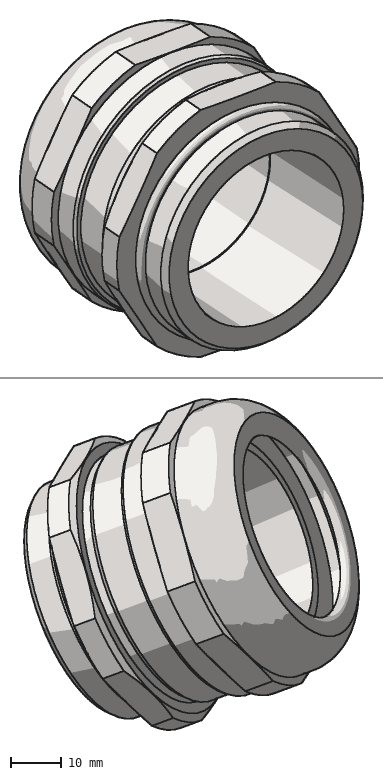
import cadquery as cq
import math

LENGTH = 48.9

ACROSS_FLATS = 57.0
CORNER_DIA = 59.95
CHAMFER_DIA = 56.8

NUT_OUTER_DIA = CHAMFER_DIA
NUT_FACE_DIA = 46.9
DOME_END = 7.85
NUT_HEX_START = 10.95
NUT_HEX_END = 17.9
NUT_HEX_FRONT_CHAMFER = 0.3
NUT_HEX_BACK_CHAMFER = 0.2
NUT_END = 23.55
NUT_END_CHAMFER_LENGTH = 0.65
NUT_END_CHAMFER_DEPTH = 0.4
LIP_BORE_DIA = 38.4
LIP_FILLET = 1.2
LIP_END = 1.75
CAVITY_DIA = 53.2
CAVITY_CONE_END = 5.7

INSERT_START = 8.05
CLAMP_RING_END = NUT_HEX_END
SEAL_OUTER_DIA = 42.1
SEAL_BORE_DIA = 38.0
SEAL_END = 24.4

BODY_BORE_DIA = LIP_BORE_DIA
BARREL_DIA = 54.0
BARREL_CHAMFER_START = 30.85
BARREL_CHAMFER_END = 31.95
NECK_DIA = 52.3
BODY_HEX_START = 33.8
BODY_HEX_END = 39.8
BODY_HEX_FRONT_CHAMFER = 0.85
BODY_HEX_BACK_CHAMFER = 0.2
THREAD_LEAD_START = 41.35
THREAD_LEAD_END = 42.45
THREAD_DIA = 50.0
THREAD_CHAMFER_START = 47.6
THREAD_END_DIA = 47.8

O_RING_SECTION_DIA = 2.05
O_RING_INNER_DIA = 47.8


def turned(profile):
    """Revolve a closed (x, radius) profile about the X axis."""
    return profile.close().revolve(360, (0, 0, 0), (1, 0, 0))


def tube(start, end, outer_dia, inner_dia):
    """Plain tube between two X positions."""
    ring = cq.Workplane("YZ", origin=(start, 0, 0)).circle(outer_dia / 2).circle(inner_dia / 2)
    return ring.extrude(end - start)


def hexagon(start, end, front_chamfer, back_chamfer):
    """Hexagon with two flats facing up and down, its corners turned round and chamfered."""
    circumscribed_dia = ACROSS_FLATS / math.cos(math.radians(30))
    prism = cq.Workplane("YZ", origin=(start, 0, 0)).polygon(6, circumscribed_dia).extrude(end - start)
    corner = CORNER_DIA / 2
    chamfer_edge = CHAMFER_DIA / 2
    envelope = turned(
        cq.Workplane("XY")
        .moveTo(start, 0)
        .lineTo(start, chamfer_edge)
        .lineTo(start + front_chamfer, corner)
        .lineTo(end - back_chamfer, corner)
        .lineTo(end, chamfer_edge)
        .lineTo(end, 0)
    )
    return prism.intersect(envelope)


def make_nut():
    """Domed clamp nut with a hexagon, a rounded lip and a wide inner cavity."""
    outer = NUT_OUTER_DIA / 2
    face = NUT_FACE_DIA / 2
    drop = outer - face
    dome_radius = (DOME_END**2 + drop**2) / (2 * drop)
    half_angle = math.asin(DOME_END / dome_radius) / 2
    dome_middle = (
        DOME_END - dome_radius * math.sin(half_angle),
        outer - dome_radius * (1 - math.cos(half_angle)),
    )
    blank = turned(
        cq.Workplane("XY")
        .moveTo(0, 0)
        .lineTo(0, face)
        .threePointArc(dome_middle, (DOME_END, outer))
        .lineTo(NUT_END - NUT_END_CHAMFER_LENGTH, outer)
        .lineTo(NUT_END, outer - NUT_END_CHAMFER_DEPTH)
        .lineTo(NUT_END, 0)
    )
    lip = LIP_BORE_DIA / 2
    cavity = turned(
        cq.Workplane("XY")
        .moveTo(0, 0)
        .lineTo(0, lip + LIP_FILLET)
        .radiusArc((LIP_FILLET, lip), -LIP_FILLET)
        .lineTo(LIP_END, lip)
        .lineTo(CAVITY_CONE_END, CAVITY_DIA / 2)
        .lineTo(NUT_END, CAVITY_DIA / 2)
        .lineTo(NUT_END, 0)
    )
    nut_hexagon = hexagon(NUT_HEX_START, NUT_HEX_END, NUT_HEX_FRONT_CHAMFER, NUT_HEX_BACK_CHAMFER)
    return blank.union(nut_hexagon).cut(cavity)


def make_body():
    """Gland body: spigot inside the nut, barrel, hexagon, O-ring groove and thread."""
    blank = turned(
        cq.Workplane("XY")
        .moveTo(CLAMP_RING_END, 0)
        .lineTo(CLAMP_RING_END, CAVITY_DIA / 2)
        .lineTo(NUT_END, CAVITY_DIA / 2)
        .lineTo(NUT_END, BARREL_DIA / 2)
        .lineTo(BARREL_CHAMFER_START, BARREL_DIA / 2)
        .lineTo(BARREL_CHAMFER_END, NECK_DIA / 2)
        .lineTo(BODY_HEX_END, NECK_DIA / 2)
        .lineTo(BODY_HEX_END, O_RING_INNER_DIA / 2)
        .lineTo(THREAD_LEAD_START, O_RING_INNER_DIA / 2)
        .lineTo(THREAD_LEAD_END, THREAD_DIA / 2)
        .lineTo(THREAD_CHAMFER_START, THREAD_DIA / 2)
        .lineTo(LENGTH, THREAD_END_DIA / 2)
        .lineTo(LENGTH, 0)
    )
    bore = turned(
        cq.Workplane("XY")
        .moveTo(CLAMP_RING_END, 0)
        .lineTo(CLAMP_RING_END, SEAL_OUTER_DIA / 2)
        .lineTo(SEAL_END, SEAL_OUTER_DIA / 2)
        .lineTo(SEAL_END, BODY_BORE_DIA / 2)
        .lineTo(LENGTH, BODY_BORE_DIA / 2)
        .lineTo(LENGTH, 0)
    )
    body_hexagon = hexagon(BODY_HEX_START, BODY_HEX_END, BODY_HEX_FRONT_CHAMFER, BODY_HEX_BACK_CHAMFER)
    return blank.union(body_hexagon).cut(bore)


def make_o_ring():
    """Round-section ring resting on the groove floor."""
    section_radius = O_RING_SECTION_DIA / 2
    section = cq.Workplane("XY").moveTo(
        BODY_HEX_END + section_radius, O_RING_INNER_DIA / 2 + section_radius
    )
    return section.circle(section_radius).revolve(360, (0, 0, 0), (1, 0, 0))


nut = make_nut()
clamp_ring = tube(INSERT_START, CLAMP_RING_END, CAVITY_DIA, SEAL_OUTER_DIA)
seal = tube(INSERT_START, SEAL_END, SEAL_OUTER_DIA, SEAL_BORE_DIA)
body = make_body()
o_ring = make_o_ring()

result = cq.Compound.makeCompound([nut.val(), clamp_ring.val(), seal.val(), body.val(), o_ring.val()])